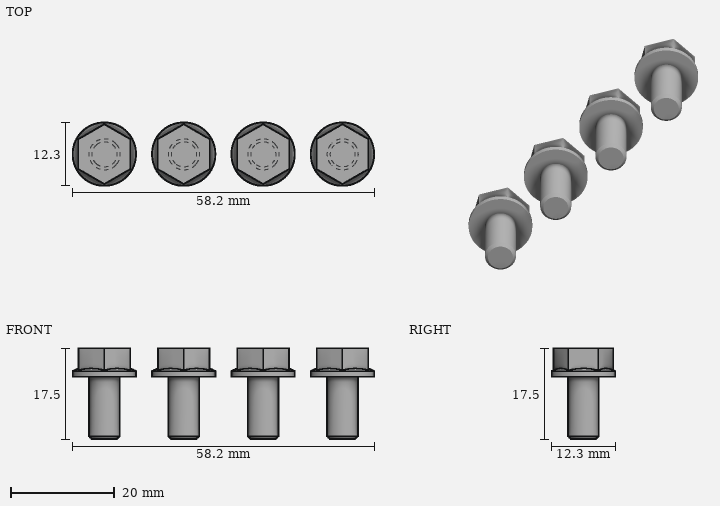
import cadquery as cq
import math

overall_length = 58.2
bolt_count = 4

flange_diameter = 12.3
rim_height = 1.1
cone_angle = 25.0

head_height = 5.5
across_flats = 10.0

shank_diameter = 6.0
shank_length = 12.0
tip_chamfer = 0.6

bolt_pitch = (overall_length - flange_diameter) / (bolt_count - 1)
flange_radius = flange_diameter / 2
across_corners = across_flats / math.cos(math.radians(30))
cone_top_radius = shank_diameter / 2
cone_height = (flange_radius - cone_top_radius) * math.tan(math.radians(cone_angle))


def make_shank():
    """Cylinder from the tip at Z = 0 to the flange, chamfered at the tip."""
    return (
        cq.Workplane("XY")
        .circle(shank_diameter / 2)
        .extrude(shank_length)
        .faces("<Z")
        .chamfer(tip_chamfer)
    )


def make_flange():
    """Rim and conical top, revolved about the bolt axis."""
    rim_top = shank_length + rim_height
    return (
        cq.Workplane("XZ")
        .moveTo(0, shank_length)
        .lineTo(flange_radius, shank_length)
        .lineTo(flange_radius, rim_top)
        .lineTo(cone_top_radius, rim_top + cone_height)
        .lineTo(0, rim_top + cone_height)
        .close()
        .revolve(360, (0, 0), (0, 1))
    )


def make_head():
    """Hexagonal prism with two of its corners on the Y axis."""
    return (
        cq.Workplane("XY", origin=(0, 0, shank_length))
        .transformed(rotate=(0, 0, 90))
        .polygon(6, across_corners)
        .extrude(head_height)
    )


def make_bolt(x):
    """One complete flanged bolt with its axis at the given X."""
    bolt = make_shank().union(make_flange()).union(make_head())
    return bolt.translate((x, 0, 0))


first_bolt_x = -bolt_pitch * (bolt_count - 1) / 2
bolts = [make_bolt(first_bolt_x + i * bolt_pitch) for i in range(bolt_count)]

result = cq.Compound.makeCompound([bolt.solids().val() for bolt in bolts])